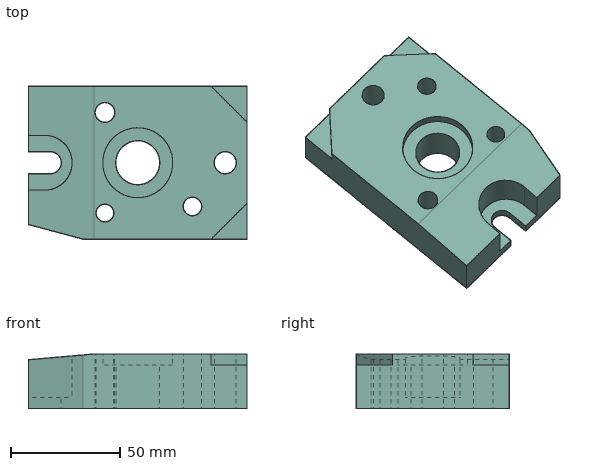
import cadquery as cq
import math

length = 100.0
width = 70.0
height = 25.0
mid_y = width / 2

slope_length = 30.0
slope_angle = 5.0
slope_drop = slope_length * math.tan(math.radians(slope_angle))
taper_length = 25.0
taper_angle = 15.0
taper_inset = taper_length * math.tan(math.radians(taper_angle))

step_leg = 16.5
step_depth = 5.0

bore_x = 50.0
bore_diameter = 20.0
counterbore_diameter = 32.0
counterbore_depth = 5.0

slot_width = 10.0
slot_end_x = 15.0
pocket_width = 25.0
pocket_end_x = 20.0
pocket_floor_z = 5.0

through_holes = [
    (90.0, mid_y, 10.0),
    (35.0, 58.0, 8.92),
    (35.0, 12.0, 8.0),
    (75.0, 15.0, 8.38),
]


def tapered_block():
    """Block outline with one tapered side, extruded to full height."""
    outline = [
        (0, taper_inset),
        (taper_length, 0),
        (length, 0),
        (length, width),
        (0, width),
    ]
    return cq.Workplane("XY").polyline(outline).close().extrude(height)


def slope_cutter():
    """Wedge removed from the top at the slotted end."""
    wedge = [(0, height - slope_drop), (slope_length, height), (0, height)]
    return cq.Workplane("XZ").polyline(wedge).close().extrude(-width)


def corner_step_cutter(corner_y, inward):
    """Triangular prism removed from the top of a far corner."""
    triangle = [
        (length, corner_y),
        (length - step_leg, corner_y),
        (length, corner_y + inward * step_leg),
    ]
    plane = cq.Workplane("XY").workplane(offset=height - step_depth)
    return plane.polyline(triangle).close().extrude(step_depth)


def round_cutter(x, y, diameter, floor_z=0.0):
    """Vertical cylinder from floor_z up to the top of the block."""
    plane = cq.Workplane("XY").workplane(offset=floor_z)
    return plane.center(x, y).circle(diameter / 2).extrude(height - floor_z)


def open_slot_cutter(slot_w, end_x, floor_z):
    """Slot open at X = 0 with a full-radius closed end at end_x."""
    radius = slot_w / 2
    straight_end = end_x - radius
    plane = cq.Workplane("XY").workplane(offset=floor_z)
    profile = (
        plane.moveTo(0, mid_y - radius)
        .lineTo(straight_end, mid_y - radius)
        .threePointArc((end_x, mid_y), (straight_end, mid_y + radius))
        .lineTo(0, mid_y + radius)
        .close()
    )
    return profile.extrude(height - floor_z)


body = tapered_block().cut(slope_cutter())

for corner_y, inward in [(0, 1), (width, -1)]:
    body = body.cut(corner_step_cutter(corner_y, inward))

body = body.cut(round_cutter(bore_x, mid_y, bore_diameter))
body = body.cut(round_cutter(bore_x, mid_y, counterbore_diameter, height - counterbore_depth))

for hole_x, hole_y, hole_diameter in through_holes:
    body = body.cut(round_cutter(hole_x, hole_y, hole_diameter))

body = body.cut(open_slot_cutter(slot_width, slot_end_x, 0.0))
body = body.cut(open_slot_cutter(pocket_width, pocket_end_x, pocket_floor_z))

result = body